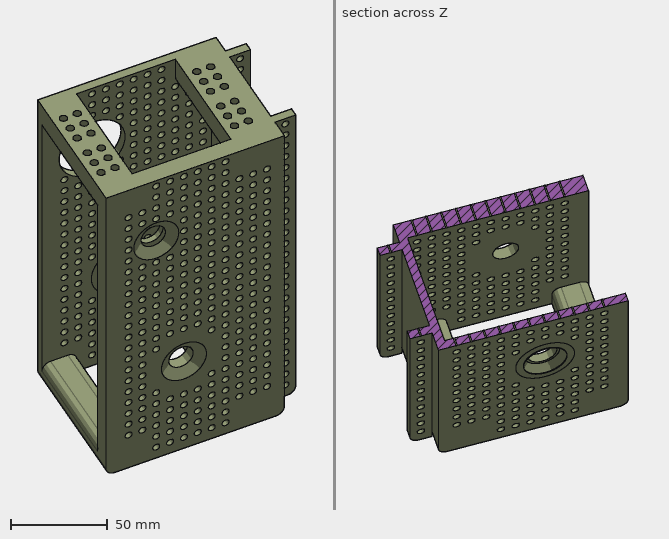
import cadquery as cq
WIDTH = 80.0
BODY_DEPTH = 103.0
HEIGHT = 204.0
LEFT_WALL = 5.0
RIGHT_WALL = 10.0
BACK_WALL = 5.0
END_THICKNESS = 14.0
ROUND_RADIUS = 5.0

CHAMBER_WIDTH = WIDTH - LEFT_WALL - RIGHT_WALL
CHAMBER_DEPTH = BODY_DEPTH - BACK_WALL
CHAMBER_HEIGHT = HEIGHT - 2 * END_THICKNESS
RIGHT_WALL_FACE = WIDTH - RIGHT_WALL

OPENING_FRONT = 20.0
OPENING_BACK = 77.0

FLANGE_THICKNESS = 5.0
FLANGE_DEPTH = 12.0
FLANGE_INSET = 11.0
FLANGE_BACK = BODY_DEPTH + FLANGE_DEPTH

PITCH = 8.0
GRID_HOLE_DIAMETER = 4.0
GRID_Y0 = 13.0
GRID_Z0 = 8.0
GRID_COLUMNS = 11
GRID_ROWS = 25
FLANGE_COLUMN = 12
END_ROWS = 2
SHORT_COLUMNS = range(2, 8)

LOWER_HOLE_Y = GRID_Y0 + 4 * PITCH
LOWER_HOLE_Z = GRID_Z0 + 7 * PITCH
UPPER_HOLE_Y = GRID_Y0 + 2 * PITCH
UPPER_HOLE_Z = GRID_Z0 + 19 * PITCH
WALL_HOLE_DIAMETER = 14.0
PORT_DIAMETER = 38.0
LARGE_CLEARANCE = 20.0
SMALL_CLEARANCE = 14.0

BOSS_HEIGHT = 5.0
BOSS_BASE_DIAMETER = 33.0
BOSS_TOP_DIAMETER = 18.6
BOSS_HOLE_DIAMETER = 15.5
LIP_THICKNESS = 0.4
LIP_DIAMETER = 23.5

COUNTERSINK_DIAMETER = 26.0
COUNTERSINK_DEPTH = 3.5

POCKET_DIAMETER = 26.0
POCKET_COVER = 3.5

TOP_HOLE_DIAMETER = 4.3
TOP_HOLE_COLUMNS = 3
TOP_HOLE_X0 = 18.0
TOP_HOLE_FRONT_Y = 6.0
TOP_HOLE_BACK_Y = 83.0
TOP_HOLE_ROWS = 2


def box(x0, y0, z0, length, depth, height):
    """Box given by its low corner and its sizes."""
    return cq.Workplane("XY").box(length, depth, height, centered=False).translate((x0, y0, z0))


def drill_x(centers, diameter, x0, length):
    """Cylinders along X at the given (y, z) centres."""
    plane = cq.Workplane("YZ", origin=(x0, 0, 0))
    return plane.pushPoints(centers).circle(diameter / 2).extrude(length)


def cone_x(y, z, x0, length, start_diameter, end_diameter):
    """Truncated cone along +X."""
    solid = cq.Solid.makeCone(
        start_diameter / 2, end_diameter / 2, length, cq.Vector(x0, y, z), cq.Vector(1, 0, 0)
    )
    return cq.Workplane(obj=solid)


def boss_cone(y, z, x0):
    """Outer shape of the boss with its base at x0."""
    return cone_x(y, z, x0, BOSS_HEIGHT, BOSS_BASE_DIAMETER, BOSS_TOP_DIAMETER)


def make_body():
    """Box with rounded outer lower edges, open at the front, top and bottom."""
    body = box(0, 0, 0, WIDTH, BODY_DEPTH, HEIGHT).edges("|X and <Z").fillet(ROUND_RADIUS)
    chamber = box(LEFT_WALL, 0, END_THICKNESS, CHAMBER_WIDTH, CHAMBER_DEPTH, CHAMBER_HEIGHT)
    chamber = chamber.edges("|X and >Y and <Z").fillet(ROUND_RADIUS)
    opening_depth = OPENING_BACK - OPENING_FRONT
    opening = box(LEFT_WALL, OPENING_FRONT, 0, CHAMBER_WIDTH, opening_depth, HEIGHT)
    return body.cut(chamber).cut(opening)


def bottom_edge_round(edge_y, inward):
    """Waste that rounds an upper edge of the bottom plate; inward (+1 or -1) points into the plate."""
    edge_z = END_THICKNESS
    center_y = edge_y + inward * ROUND_RADIUS
    low = edge_z - ROUND_RADIUS
    waste = box(LEFT_WALL, min(edge_y, center_y), low, CHAMBER_WIDTH, ROUND_RADIUS, ROUND_RADIUS)
    return waste.cut(drill_x([(center_y, low)], 2 * ROUND_RADIUS, LEFT_WALL, CHAMBER_WIDTH))


def make_flange(x0):
    """Plate standing behind the body, starting inside the back wall."""
    start = BODY_DEPTH - BACK_WALL
    plate = box(x0, start, 0, FLANGE_THICKNESS, FLANGE_BACK - start, HEIGHT)
    plate = plate.edges("|X and <Z and >Y").fillet(ROUND_RADIUS)
    inner_corner = box(x0, start, 0, FLANGE_THICKNESS, BACK_WALL, ROUND_RADIUS)
    return plate.cut(inner_corner)


def is_clear(y, z, center_y, center_z, clearance):
    """Whether a grid centre lies farther than the clearance from a large feature."""
    return (y - center_y) ** 2 + (z - center_z) ** 2 > clearance**2


def grid_centers(upper_clearance):
    """Grid centres on a side wall, leaving the large holes free."""
    centers = []
    for row in range(GRID_ROWS):
        z = GRID_Z0 + row * PITCH
        at_end = row < END_ROWS or row >= GRID_ROWS - END_ROWS
        for column in SHORT_COLUMNS if at_end else range(GRID_COLUMNS):
            y = GRID_Y0 + column * PITCH
            clear_below = is_clear(y, z, LOWER_HOLE_Y, LOWER_HOLE_Z, LARGE_CLEARANCE)
            clear_above = is_clear(y, z, UPPER_HOLE_Y, UPPER_HOLE_Z, upper_clearance)
            if clear_below and clear_above:
                centers.append((y, z))
    return centers


def top_hole_centers():
    """(x, y) centres in front of and behind the opening, mirrored about the middle of the width."""
    centers = []
    for start_y in (TOP_HOLE_FRONT_Y, TOP_HOLE_BACK_Y):
        for row in range(TOP_HOLE_ROWS):
            for column in range(TOP_HOLE_COLUMNS):
                x = TOP_HOLE_X0 + column * PITCH
                y = start_y + row * PITCH
                centers += [(x, y), (WIDTH - x, y)]
    return centers


body = make_body()
body = body.cut(bottom_edge_round(0, 1))
body = body.cut(bottom_edge_round(OPENING_FRONT, -1))
body = body.cut(bottom_edge_round(OPENING_BACK, 1))

for flange_x in (FLANGE_INSET, WIDTH - FLANGE_INSET - FLANGE_THICKNESS):
    body = body.union(make_flange(flange_x))
flange_y = GRID_Y0 + FLANGE_COLUMN * PITCH
flange_centers = [(flange_y, GRID_Z0 + row * PITCH) for row in range(GRID_ROWS)]
body = body.cut(drill_x(flange_centers, GRID_HOLE_DIAMETER, 0, WIDTH))

body = body.cut(drill_x(grid_centers(LARGE_CLEARANCE), GRID_HOLE_DIAMETER, 0, LEFT_WALL))
body = body.cut(drill_x(grid_centers(SMALL_CLEARANCE), GRID_HOLE_DIAMETER, RIGHT_WALL_FACE, RIGHT_WALL))

lower = (LOWER_HOLE_Y, LOWER_HOLE_Z)
upper = (UPPER_HOLE_Y, UPPER_HOLE_Z)
lip = box(0, 0, 0, LIP_THICKNESS, BODY_DEPTH, HEIGHT)
cavity = boss_cone(*lower, 0).cut(lip)
body = body.union(boss_cone(*lower, LEFT_WALL)).cut(cavity)
body = body.cut(drill_x([lower], LIP_DIAMETER, 0, LIP_THICKNESS))
body = body.cut(drill_x([lower], BOSS_HOLE_DIAMETER, LEFT_WALL, BOSS_HEIGHT))

body = body.cut(drill_x([upper], PORT_DIAMETER, 0, LEFT_WALL))

body = body.cut(drill_x([lower, upper], WALL_HOLE_DIAMETER, RIGHT_WALL_FACE, RIGHT_WALL))
countersink_start = WIDTH - COUNTERSINK_DEPTH
for hole_y, hole_z in (lower, upper):
    countersink = cone_x(
        hole_y, hole_z, countersink_start, COUNTERSINK_DEPTH, WALL_HOLE_DIAMETER, COUNTERSINK_DIAMETER
    )
    body = body.cut(countersink)

pocket_start = RIGHT_WALL_FACE + POCKET_COVER
body = body.cut(drill_x([upper], POCKET_DIAMETER, pocket_start, countersink_start - pocket_start))

top_plane = cq.Workplane("XY", origin=(0, 0, HEIGHT - END_THICKNESS))
top_holes = top_plane.pushPoints(top_hole_centers()).circle(TOP_HOLE_DIAMETER / 2).extrude(END_THICKNESS)
result = body.cut(top_holes)